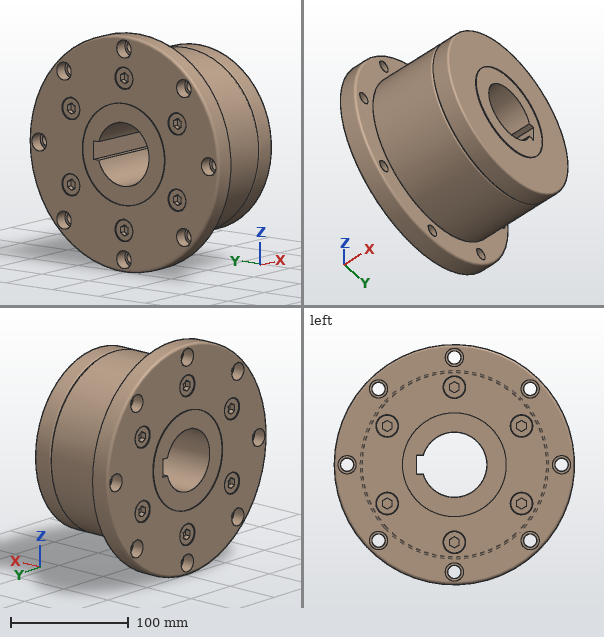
import cadquery as cq
import math

total_length = 104.0
flange_diameter = 204.0
body_diameter = 160.0

hub_diameter = 88.1
hub_step = 0.8
bore_diameter = 55.0
keyway_width = 16.0
keyway_reach = 32.0

flange_back = 19.0
body_end = 85.5
cover_end = total_length - hub_step
flange_round = 2.5
flange_back_round = 2.2
body_front_round = 1.5
body_back_round = 1.8
cover_front_round = 1.2
cover_back_round = 1.8

mounting_count = 8
mounting_circle = 182.0
mounting_diameter = 11.0
mounting_head_diameter = 15.5
mounting_head_depth = 11.5

screw_count = 6
screw_circle = 131.5
screw_recess_diameter = 19.2
screw_head_diameter = 18.2
screw_recess_depth = 11.0
screw_head_sink = 0.6
hex_sides = 6
hex_across_flats = 8.2
hex_depth = 5.7


def disc(diameter, start, end):
    """Solid cylinder along X between two stations."""
    return cq.Workplane("YZ").workplane(offset=start).circle(diameter / 2).extrude(end - start)


def rounded_disc(diameter, start, end, start_round, end_round):
    """Cylinder along X with both rims rounded."""
    return disc(diameter, start, end).edges("<X").fillet(start_round).edges(">X").fillet(end_round)


def ring_points(count, circle_diameter):
    """Evenly spaced (Y, Z) points, the first one straight up."""
    radius = circle_diameter / 2
    angles = [math.pi / 2 + 2 * math.pi * i / count for i in range(count)]
    return [(radius * math.cos(a), radius * math.sin(a)) for a in angles]


def face_plane(points, depth=0):
    """Workplane at a depth below the flange face, holding the given (Y, Z) points."""
    return cq.Workplane("YZ").workplane(offset=hub_step + depth).pushPoints(points)


def make_housing():
    flange = rounded_disc(flange_diameter, hub_step, flange_back, flange_round, flange_back_round)
    body = rounded_disc(body_diameter, flange_back, body_end, body_front_round, body_back_round)
    cover = rounded_disc(body_diameter, body_end, cover_end, cover_front_round, cover_back_round)
    hub = disc(hub_diameter, 0, total_length)
    return flange.union(body).union(cover).union(hub)


def make_keyed_bore():
    keyway = cq.Workplane("XY").box(
        total_length, keyway_reach, keyway_width, centered=(False, False, True)
    )
    return disc(bore_diameter, 0, total_length).union(keyway)


def make_mounting_holes():
    points = ring_points(mounting_count, mounting_circle)
    holes = face_plane(points).circle(mounting_diameter / 2).extrude(flange_back - hub_step)
    heads = face_plane(points).circle(mounting_head_diameter / 2).extrude(mounting_head_depth)
    return holes.union(heads)


def make_screw_cuts():
    """Recess over and around each screw head, plus its hexagonal socket."""
    points = ring_points(screw_count, screw_circle)
    recesses = face_plane(points).circle(screw_recess_diameter / 2).extrude(screw_recess_depth)
    heads = (
        face_plane(points, screw_head_sink)
        .circle(screw_head_diameter / 2)
        .extrude(screw_recess_depth - screw_head_sink)
    )
    corner_radius = hex_across_flats / math.sqrt(3)
    socket_outline = ring_points(hex_sides, 2 * corner_radius)
    cuts = recesses.cut(heads)
    for y, z in points:
        socket = (
            cq.Workplane("YZ")
            .workplane(offset=hub_step)
            .center(y, z)
            .polyline(socket_outline)
            .close()
            .extrude(hex_depth)
        )
        cuts = cuts.union(socket)
    return cuts


result = (
    make_housing()
    .cut(make_keyed_bore())
    .cut(make_mounting_holes())
    .cut(make_screw_cuts())
)